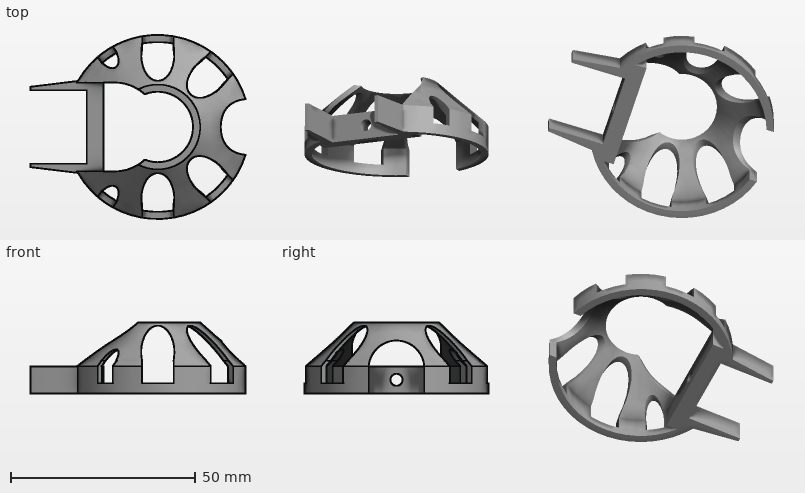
import cadquery as cq
import math

base_radius = 25.0
top_radius = 11.5
wall = 2.0
base_height = 7.4
total_height = 19.3

window_sill = 2.85
arch_start_height = 8.95
large_window_angles = (-90, -45, 45, 90)
large_base_width = 8.5
large_arch_width = 9.0
large_arch_centre_height = 11.25
large_crown_height = 18.4
small_window_angles = (-125, 125)
small_width = 4.95
small_arch_centre_height = 7.9
small_crown_height = 11.95

gap_radius = 7.55
gap_centre_height = 6.85

opening_half_width = 12.0
opening_end_x = -11.7

arm_tip_x = -34.55
arm_inner_y = 9.9
arm_tip_outer_y = 10.9
arm_root_outer_y = 12.5
bar_outer_x = -19.25
bar_inner_x = -14.7
bar_end_y = 14.6
hole_diameter = 3.2
hole_height = 3.75


def make_dome():
    profile = [
        (base_radius - wall, 0),
        (base_radius, 0),
        (base_radius, base_height),
        (top_radius, total_height),
        (top_radius - wall, total_height),
        (base_radius - wall, base_height),
    ]
    return cq.Workplane("XZ").polyline(profile).close().revolve(360, (0, 0), (0, 1))


def make_window(angle, base_width, arch_width, arch_centre_height, crown_height):
    """Straight-sided window with an elliptical arch, cut outward from the axis."""
    reach = base_radius + wall
    straight = cq.Workplane("XY", origin=(0, 0, window_sill)).box(
        reach, base_width, arch_start_height - window_sill, centered=(False, True, False)
    )
    arch = (
        cq.Workplane("YZ")
        .center(0, arch_centre_height)
        .ellipse(arch_width / 2, crown_height - arch_centre_height)
        .extrude(reach)
    )
    above_straight = cq.Workplane("XY", origin=(0, 0, arch_start_height)).box(
        reach, arch_width, total_height, centered=(False, True, False)
    )
    window = straight.union(arch.intersect(above_straight))
    return window.rotate((0, 0, 0), (0, 0, 1), angle)


def make_gap():
    arch = cq.Workplane("YZ").center(0, gap_centre_height).circle(gap_radius).extrude(base_radius + wall)
    below = cq.Workplane("XY").box(
        base_radius + wall, 2 * gap_radius, gap_centre_height, centered=(False, True, False)
    )
    return arch.union(below)


def make_opening():
    length = base_radius + wall
    return (
        cq.Workplane("XY")
        .moveTo(-length, -opening_half_width)
        .lineTo(opening_end_x, -opening_half_width)
        .threePointArc((opening_end_x + opening_half_width, 0), (opening_end_x, opening_half_width))
        .lineTo(-length, opening_half_width)
        .close()
        .extrude(total_height)
    )


def make_fork():
    root_x = -math.sqrt(base_radius**2 - arm_root_outer_y**2)
    buried_x = -math.sqrt((base_radius - wall / 2) ** 2 - bar_end_y**2)
    upper_half = [
        (bar_inner_x, bar_end_y),
        (buried_x, bar_end_y),
        (root_x, arm_root_outer_y),
        (arm_tip_x, arm_tip_outer_y),
        (arm_tip_x, arm_inner_y),
        (bar_outer_x, arm_inner_y),
    ]
    lower_half = [(x, -y) for x, y in reversed(upper_half)]
    fork = cq.Workplane("XY").polyline(upper_half + lower_half).close().extrude(base_height)
    hole = (
        cq.Workplane("YZ", origin=(bar_outer_x, 0, hole_height))
        .circle(hole_diameter / 2)
        .extrude(bar_inner_x - bar_outer_x)
    )
    return fork.cut(hole)


dome = make_dome().cut(make_opening()).cut(make_gap())
for angle in large_window_angles:
    dome = dome.cut(
        make_window(angle, large_base_width, large_arch_width, large_arch_centre_height, large_crown_height)
    )
for angle in small_window_angles:
    dome = dome.cut(
        make_window(angle, small_width, small_width, small_arch_centre_height, small_crown_height)
    )

result = dome.union(make_fork())